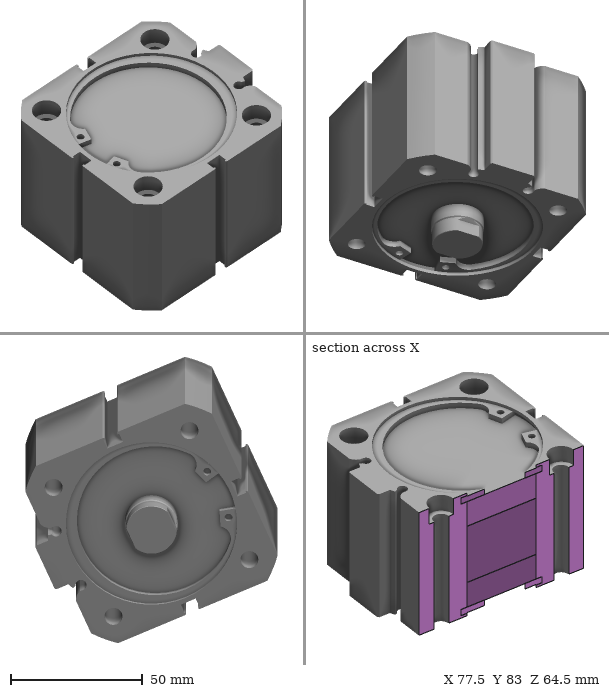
import cadquery as cq
import math

WIDTH = 77.5
HALF_WIDTH = WIDTH / 2
TOTAL_DEPTH = 83.0
HOUSING_HEIGHT = 56.5
CORNER_RADIUS = 49.6
BORE_RADIUS = 32.5

HOLE_OFFSET = 28.2
HOLE_RADIUS = 3.4
COUNTERBORE_RADIUS = 5.6
COUNTERBORE_DEPTH = 7.2

SLOT_HALF_WIDTH = 3.2
SLOT_DEPTH = 4.5
SLOT_FLOOR = HALF_WIDTH - SLOT_DEPTH
LIP_HALF_WIDTH = 2.65
LIP_THICKNESS = 0.9
MOUTH_BEVEL_DEPTH = 0.25

RAIL_TOP = TOTAL_DEPTH - HALF_WIDTH
RAIL_HALF_WIDTH = 9.55
RAIL_CHAMFER = 0.6
GROOVE_X = 11.8
GROOVE_Y = 34.45
GROOVE_RADIUS = 2.1
GROOVE_WALL_TOP = 35.8
GROOVE_MOUTH_X = 16.8
MOUTH_BULGE_X = 14.9
MOUTH_BULGE_Y = 37.6
BARB_TIP_X = 11.7
BARB_TIP_Y = 37.8
BARB_ROOT_X = 11.1
BARB_ROOT_Y = GROOVE_Y + math.sqrt(GROOVE_RADIUS**2 - (BARB_ROOT_X - GROOVE_X) ** 2)

RING_THICKNESS = 2.5
RING_RECESS = 1.4
RING_BACKING = 0.25
RING_RADIUS = SLOT_FLOOR - RING_BACKING
RING_INNER_RADIUS = 29.8
RING_INNER_Y = -1.6
LUG_HOLE_X = 10.05
LUG_HOLE_Y = -27.55
LUG_HOLE_RADIUS = 1.5
NECK_X = 19.6
NECK_Y = RING_INNER_Y - math.sqrt(RING_INNER_RADIUS**2 - NECK_X**2)
NECK_BOTTOM_X = 15.85
NECK_BOTTOM_Y = -25.4
LUG_TIP_X = 12.1
LUG_TIP_Y = -23.3
LUG_CORNER_X = 6.3
LUG_CORNER_Y = -25.5
LUG_END_X = 8.1
LUG_END_Y = -math.sqrt(RING_RADIUS**2 - LUG_END_X**2)

LOWER_RING_Z = RING_RECESS
UPPER_RING_Z = HOUSING_HEIGHT - RING_RECESS - RING_THICKNESS

COVER_THICKNESS = 11.6
ROD_COVER_Z = LOWER_RING_Z + RING_THICKNESS
HEAD_COVER_Z = UPPER_RING_Z - COVER_THICKNESS

PISTON_Z = ROD_COVER_Z + COVER_THICKNESS
PISTON_LENGTH = HEAD_COVER_Z - PISTON_Z
ROD_RADIUS = 10.05
ROD_END_Z = -8.0
SHOULDER_Z = -1.5
ROD_NECK_RADIUS = 9.6
ROD_END_CHAMFER = 0.2
FLAT_HALF_WIDTH = 8.5
FLAT_TOP_Z = -3.0
FLAT_RUNOUT = ROD_RADIUS - FLAT_HALF_WIDTH


def disc(radius, z, height):
    return cq.Workplane("XY").workplane(offset=z).circle(radius).extrude(height)


def sensor_slot(angle):
    """T-shaped slot with a bevelled mouth, cut into the side facing the given angle."""
    lip_inside = HALF_WIDTH - LIP_THICKNESS
    half = [
        (SLOT_FLOOR, SLOT_HALF_WIDTH),
        (lip_inside, SLOT_HALF_WIDTH),
        (lip_inside, LIP_HALF_WIDTH),
        (HALF_WIDTH - MOUTH_BEVEL_DEPTH, LIP_HALF_WIDTH),
        (HALF_WIDTH, SLOT_HALF_WIDTH),
    ]
    mirrored = [(x, -y) for x, y in reversed(half)]
    slot = cq.Workplane("XY").polyline(half + mirrored).close().extrude(HOUSING_HEIGHT)
    return slot.rotate((0, 0, 0), (0, 0, 1), angle)


def rail():
    """Chamfered port rail that stands up from the +Y side."""
    height = RAIL_TOP - GROOVE_Y
    block = cq.Workplane("XY").rect(2 * RAIL_HALF_WIDTH, height).extrude(HOUSING_HEIGHT)
    return block.faces(">Y").edges("|Z").chamfer(RAIL_CHAMFER).translate((0, GROOVE_Y + height / 2, 0))


def rail_groove():
    """Undercut groove on the +X side of the rail, from its round bottom to its flared mouth."""
    outer_wall = GROOVE_X + GROOVE_RADIUS
    return (
        cq.Workplane("XY")
        .moveTo(RAIL_HALF_WIDTH, HALF_WIDTH)
        .lineTo(BARB_TIP_X, BARB_TIP_Y)
        .lineTo(BARB_ROOT_X, BARB_ROOT_Y)
        .threePointArc((GROOVE_X - GROOVE_RADIUS, GROOVE_Y), (GROOVE_X, GROOVE_Y - GROOVE_RADIUS))
        .threePointArc(
            (GROOVE_X + GROOVE_RADIUS * math.sqrt(0.5), GROOVE_Y - GROOVE_RADIUS * math.sqrt(0.5)),
            (outer_wall, GROOVE_Y),
        )
        .lineTo(outer_wall, GROOVE_WALL_TOP)
        .threePointArc((MOUTH_BULGE_X, MOUTH_BULGE_Y), (GROOVE_MOUTH_X, HALF_WIDTH))
        .close()
        .extrude(HOUSING_HEIGHT)
    )


def make_housing():
    body = cq.Workplane("XY").rect(WIDTH, WIDTH).extrude(HOUSING_HEIGHT)
    body = body.intersect(disc(CORNER_RADIUS, 0, HOUSING_HEIGHT)).union(rail())
    groove = rail_groove()
    body = body.cut(groove).cut(groove.mirror("YZ"))
    for angle in (0, 180, 270):
        body = body.cut(sensor_slot(angle))
    body = (
        body.faces(">Z")
        .workplane(origin=(0, 0, HOUSING_HEIGHT))
        .rect(2 * HOLE_OFFSET, 2 * HOLE_OFFSET, forConstruction=True)
        .vertices()
        .cboreHole(2 * HOLE_RADIUS, 2 * COUNTERBORE_RADIUS, COUNTERBORE_DEPTH)
    )
    body = body.cut(disc(BORE_RADIUS, 0, HOUSING_HEIGHT))
    for ring_z in (LOWER_RING_Z, UPPER_RING_Z):
        body = body.cut(disc(RING_RADIUS, ring_z, RING_THICKNESS))
    return body


def make_retaining_ring(z):
    """Open ring with an eccentric inner edge and two drilled plier lugs on the -Y side."""
    return (
        cq.Workplane("XY")
        .workplane(offset=z)
        .moveTo(LUG_END_X, LUG_END_Y)
        .threePointArc((0, RING_RADIUS), (-LUG_END_X, LUG_END_Y))
        .lineTo(-LUG_CORNER_X, LUG_CORNER_Y)
        .lineTo(-LUG_TIP_X, LUG_TIP_Y)
        .threePointArc((-NECK_BOTTOM_X, NECK_BOTTOM_Y), (-NECK_X, NECK_Y))
        .threePointArc((0, RING_INNER_Y + RING_INNER_RADIUS), (NECK_X, NECK_Y))
        .threePointArc((NECK_BOTTOM_X, NECK_BOTTOM_Y), (LUG_TIP_X, LUG_TIP_Y))
        .lineTo(LUG_CORNER_X, LUG_CORNER_Y)
        .close()
        .pushPoints([(-LUG_HOLE_X, LUG_HOLE_Y), (LUG_HOLE_X, LUG_HOLE_Y)])
        .circle(LUG_HOLE_RADIUS)
        .extrude(RING_THICKNESS)
    )


def make_head_cover():
    return disc(BORE_RADIUS, HEAD_COVER_Z, COVER_THICKNESS)


def make_rod_cover():
    cover = disc(BORE_RADIUS, ROD_COVER_Z, COVER_THICKNESS)
    return cover.cut(disc(ROD_RADIUS, ROD_COVER_Z, COVER_THICKNESS))


def wrench_flat():
    """Cut on the +Y side of the rod end, running out at 45 degrees at its top."""
    return (
        cq.Workplane("YZ")
        .moveTo(FLAT_HALF_WIDTH, ROD_END_Z)
        .lineTo(FLAT_HALF_WIDTH, FLAT_TOP_Z)
        .lineTo(ROD_RADIUS, FLAT_TOP_Z + FLAT_RUNOUT)
        .lineTo(ROD_RADIUS, ROD_END_Z)
        .close()
        .extrude(ROD_RADIUS, both=True)
    )


def make_piston_rod():
    step = ROD_RADIUS - ROD_NECK_RADIUS
    profile = [
        (0, ROD_END_Z),
        (ROD_NECK_RADIUS - ROD_END_CHAMFER, ROD_END_Z),
        (ROD_NECK_RADIUS, ROD_END_Z + ROD_END_CHAMFER),
        (ROD_NECK_RADIUS, SHOULDER_Z - step),
        (ROD_RADIUS, SHOULDER_Z),
        (ROD_RADIUS, PISTON_Z),
        (BORE_RADIUS, PISTON_Z),
        (BORE_RADIUS, PISTON_Z + PISTON_LENGTH),
        (0, PISTON_Z + PISTON_LENGTH),
    ]
    rod = cq.Workplane("XZ").polyline(profile).close().revolve(360, (0, 0, 0), (0, 1, 0))
    flat = wrench_flat()
    return rod.cut(flat).cut(flat.mirror("XZ"))


housing = make_housing()
head_cover = make_head_cover()
rod_cover = make_rod_cover()
retaining_rings = [make_retaining_ring(z) for z in (LOWER_RING_Z, UPPER_RING_Z)]
piston_rod = make_piston_rod()

result = cq.Compound.makeCompound(
    [
        housing.val(),
        head_cover.val(),
        rod_cover.val(),
        *[ring.val() for ring in retaining_rings],
        piston_rod.val(),
    ]
)